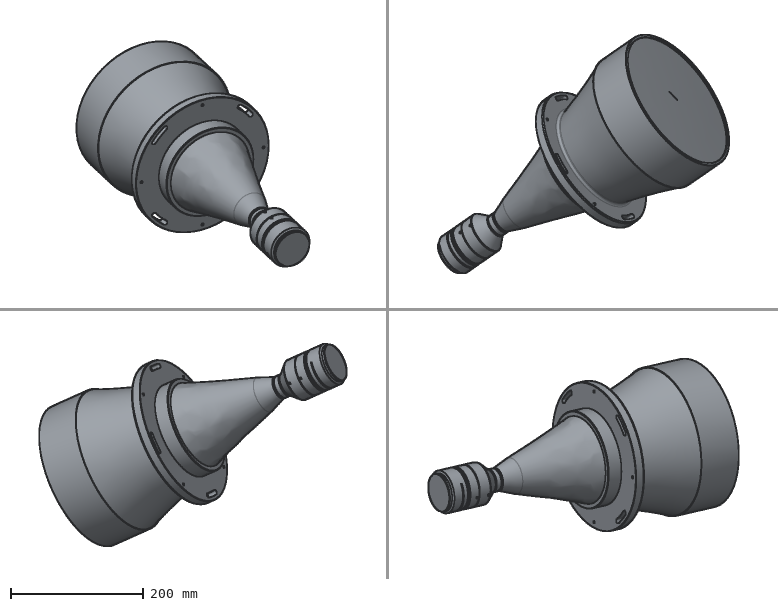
import cadquery as cq
import math

total_length = 468.5
barrel_end = 68.0
front_horn_end = 166.0
flange_front = 171.0
flange_back = 187.0
collar_end = 210.7
rear_horn_end = 335.0
nose_end = 363.0
neck_start = 365.8
neck_ring = 374.5
neck_end = 377.0
body_start = 395.0
body_end = 461.5
rim_start = 463.0

barrel_radius = 114.95
flange_radius = barrel_radius
front_horn_start_radius = 114.0
front_horn_end_radius = 83.0
front_horn_sag = 1.5
collar_radius = 75.5
rear_horn_start_radius = 68.0
rear_horn_end_radius = 28.0
rear_horn_sag = 1.0
nose_radius = 18.0
nose_groove_radius = 17.0
neck_radius = 18.05
body_radius = 33.3
rim_radius = 29.5

lens_radius = 110.5
lens_recess = 2.5
lens_rise = 2.0

flange_front_chamfer_length = 2.5
flange_front_chamfer_drop = 1.5
flange_back_chamfer = 0.7
flange_fillet = 3.7
collar_chamfer = 1.0
edge_break_length = 1.5
barrel_chamfer = 0.5
edge_break_drop = 0.5

thin_groove_width = 1.0
thin_groove_depth = 0.5
thin_groove_starts = ((neck_ring, neck_radius), (415.5, body_radius))
body_groove_start = 432.3
body_groove_end = 437.5
body_groove_depth = 1.5
body_groove_slope = 1.5

bolt_circle_radius = 105.5
slot_count = 4
slot_width = 7.0
slot_length = 34.5
slot_first_angle = 45.0
pin_count = 4
pin_diameter = 3.7

screw_stations = (398.5, 419.0)
screw_count = 3
screw_first_angle = 106.0
screw_diameter = 3.5
screw_depth = 3.7

window_center = 445.0
window_width = 1.5
window_depth = 1.0
window_start_angle = 198.0
window_end_angle = 394.0


def midpoint_with_sag(start, end, sag):
    """Middle of a start-to-end line, moved towards the axis by the sag."""
    return (start[0] + end[0]) / 2, (start[1] + end[1]) / 2 - sag


def turned_body():
    """Solid of revolution about X, drawn as a half profile of (x, radius) points."""
    lens_pole = (lens_recess - lens_rise, 0)
    lens_edge = (lens_recess, lens_radius)
    lens_middle = (lens_recess - 0.75 * lens_rise, lens_radius / 2)
    front_horn_start = (barrel_end, front_horn_start_radius)
    front_horn_stop = (front_horn_end, front_horn_end_radius)
    rear_horn_start = (collar_end, rear_horn_start_radius)
    rear_horn_stop = (rear_horn_end, rear_horn_end_radius)
    fillet_start = (flange_front - flange_fillet, front_horn_end_radius)
    fillet_shift = flange_fillet * math.sqrt(0.5)
    fillet_middle = (
        fillet_start[0] + fillet_shift,
        fillet_start[1] + flange_fillet - fillet_shift,
    )
    fillet_end = (flange_front, front_horn_end_radius + flange_fillet)
    profile = (
        cq.Workplane("XY")
        .moveTo(*lens_pole)
        .threePointArc(lens_middle, lens_edge)
        .lineTo(0, lens_radius)
        .lineTo(0, barrel_radius - barrel_chamfer)
        .lineTo(barrel_chamfer, barrel_radius)
        .lineTo(barrel_end, barrel_radius)
        .lineTo(*front_horn_start)
        .threePointArc(midpoint_with_sag(front_horn_start, front_horn_stop, front_horn_sag), front_horn_stop)
        .lineTo(*fillet_start)
        .threePointArc(fillet_middle, fillet_end)
        .lineTo(flange_front, flange_radius - flange_front_chamfer_drop)
        .lineTo(flange_front + flange_front_chamfer_length, flange_radius)
        .lineTo(flange_back - flange_back_chamfer, flange_radius)
        .lineTo(flange_back, flange_radius - flange_back_chamfer)
        .lineTo(flange_back, collar_radius)
        .lineTo(collar_end - collar_chamfer, collar_radius)
        .lineTo(collar_end, collar_radius - collar_chamfer)
        .lineTo(*rear_horn_start)
        .threePointArc(midpoint_with_sag(rear_horn_start, rear_horn_stop, rear_horn_sag), rear_horn_stop)
        .lineTo(nose_end, nose_radius)
        .lineTo(nose_end, nose_groove_radius)
        .lineTo(neck_start, nose_groove_radius)
        .lineTo(neck_start, neck_radius)
        .lineTo(neck_end, neck_radius)
        .lineTo(body_start, body_radius - edge_break_drop)
        .lineTo(body_start + edge_break_length, body_radius)
        .lineTo(body_end, body_radius)
        .lineTo(rim_start, rim_radius)
        .lineTo(total_length - edge_break_length, rim_radius)
        .lineTo(total_length, rim_radius - edge_break_drop)
        .lineTo(total_length, 0)
        .close()
    )
    return profile.revolve(360, (0, 0, 0), (1, 0, 0))


def ring_groove(start, end, radius, depth, slope):
    """Ring that cuts a groove, with walls that lean over the slope length, into a cylinder about X."""
    return (
        cq.Workplane("XY")
        .moveTo(start, radius)
        .lineTo(start + slope, radius - depth)
        .lineTo(end - slope, radius - depth)
        .lineTo(end, radius)
        .close()
        .revolve(360, (0, 0, 0), (1, 0, 0))
    )


def turn_about_x(shape, angle):
    """Turn a shape about the X axis, with the angle measured from +Y towards +Z."""
    return shape.rotate((0, 0, 0), (1, 0, 0), angle)


def flange_cutters():
    """Curved slots, and pin holes on the Y and Z axes, all through the flange."""
    plane = cq.Workplane("YZ", origin=(flange_front, 0, 0))
    thickness = flange_back - flange_front
    half_angle = (slot_length - slot_width) / bolt_circle_radius / 2
    inner = bolt_circle_radius - slot_width / 2
    outer = bolt_circle_radius + slot_width / 2

    def polar(radius, angle):
        return radius * math.cos(angle), radius * math.sin(angle)

    cap_swing = half_angle + slot_width / 2 / bolt_circle_radius
    slot = (
        plane.moveTo(*polar(inner, -half_angle))
        .threePointArc((inner, 0), polar(inner, half_angle))
        .threePointArc(polar(bolt_circle_radius, cap_swing), polar(outer, half_angle))
        .threePointArc((outer, 0), polar(outer, -half_angle))
        .threePointArc(polar(bolt_circle_radius, -cap_swing), polar(inner, -half_angle))
        .close()
        .extrude(thickness)
    )
    pin = plane.center(bolt_circle_radius, 0).circle(pin_diameter / 2).extrude(thickness)
    slots = [turn_about_x(slot, slot_first_angle + i * 360 / slot_count) for i in range(slot_count)]
    pins = [turn_about_x(pin, i * 360 / pin_count) for i in range(pin_count)]
    return slots + pins


def screw_cutters():
    """Blind radial holes around the rear body at each screw station."""
    cutters = []
    for station in screw_stations:
        hole = (
            cq.Workplane("XZ", origin=(station, body_radius, 0))
            .circle(screw_diameter / 2)
            .extrude(screw_depth)
        )
        for i in range(screw_count):
            cutters.append(turn_about_x(hole, screw_first_angle + i * 360 / screw_count))
    return cutters


def window_cutter():
    """Part ring that cuts the shallow circumferential slot."""
    sector = (
        cq.Workplane("XY")
        .center(window_center, body_radius - window_depth / 2)
        .rect(window_width, window_depth)
        .revolve(
            window_end_angle - window_start_angle,
            (0, window_depth / 2 - body_radius, 0),
            (1, window_depth / 2 - body_radius, 0),
        )
    )
    return turn_about_x(sector, window_start_angle)


def groove_cutters():
    """Straight thin grooves, and the wider groove with sloped walls in the rear body."""
    cutters = [
        ring_groove(start, start + thin_groove_width, radius, thin_groove_depth, 0)
        for start, radius in thin_groove_starts
    ]
    cutters.append(
        ring_groove(body_groove_start, body_groove_end, body_radius, body_groove_depth, body_groove_slope)
    )
    return cutters


result = turned_body()
for cutter in groove_cutters() + flange_cutters() + screw_cutters() + [window_cutter()]:
    result = result.cut(cutter)